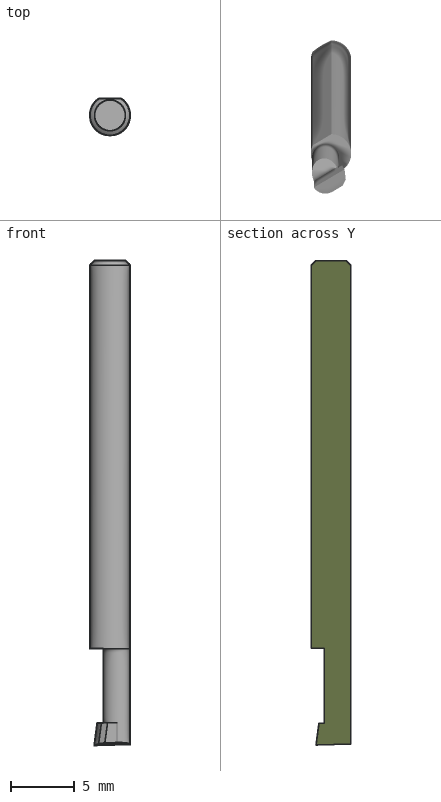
import cadquery as cq
import math

total_length = 38.1
shank_diameter = 3.175
shank_radius = shank_diameter / 2
shank_bottom = 7.62
flat_distance = 1.3325
top_chamfer = 0.381

neck_diameter = 2.13
neck_radius = neck_diameter / 2
neck_x = shank_radius - neck_radius
neck_y = -0.03

rake_end = 2.18

head_top = 1.78
tip_x = -1.25
back_angle = 7.5
relief_x = 0.34
relief_y = -0.77
heel_x = 0.82

end_relief_angle = 10.0
end_lead_angle = 1.7

stock = 10.0


def make_shank():
    length = total_length - shank_bottom
    bar = cq.Workplane("XY").workplane(offset=shank_bottom).circle(shank_radius).extrude(length)
    bar = bar.faces(">Z").chamfer(top_chamfer)
    flat_cut = (
        cq.Workplane("XY")
        .box(stock, stock, total_length, centered=(True, False, False))
        .translate((0, flat_distance, 0))
    )
    return bar.cut(flat_cut)


def make_neck():
    return cq.Workplane("XY").center(neck_x, neck_y).circle(neck_radius).extrude(shank_bottom)


def head_section(edge_x):
    """Corners of the head at one height, with the cutting edge at edge_x."""
    return [
        (edge_x, 0),
        (edge_x + relief_x, relief_y),
        (edge_x + heel_x, neck_y - neck_radius),
        (neck_x, neck_y - neck_radius),
        (neck_x, 0),
    ]


def make_head():
    top_edge_x = tip_x + head_top * math.tan(math.radians(back_angle))
    return (
        cq.Workplane("XY")
        .polyline(head_section(tip_x))
        .close()
        .workplane(offset=head_top)
        .polyline(head_section(top_edge_x))
        .close()
        .loft(ruled=True)
    )


def make_rake_cut():
    outline = [
        (0, -stock),
        (0, rake_end),
        (neck_diameter, rake_end + neck_diameter),
        (neck_diameter, -stock),
    ]
    return cq.Workplane("YZ").polyline(outline).close().extrude(stock, both=True)


def make_end_cut():
    normal = (
        -math.tan(math.radians(end_lead_angle)),
        math.tan(math.radians(end_relief_angle)),
        1,
    )
    end_plane = cq.Plane(origin=(tip_x, 0, 0), normal=normal)
    return cq.Workplane(end_plane).rect(stock, stock).extrude(-stock)


tool_end = make_neck().union(make_head()).cut(make_rake_cut()).cut(make_end_cut())
result = make_shank().union(tool_end)